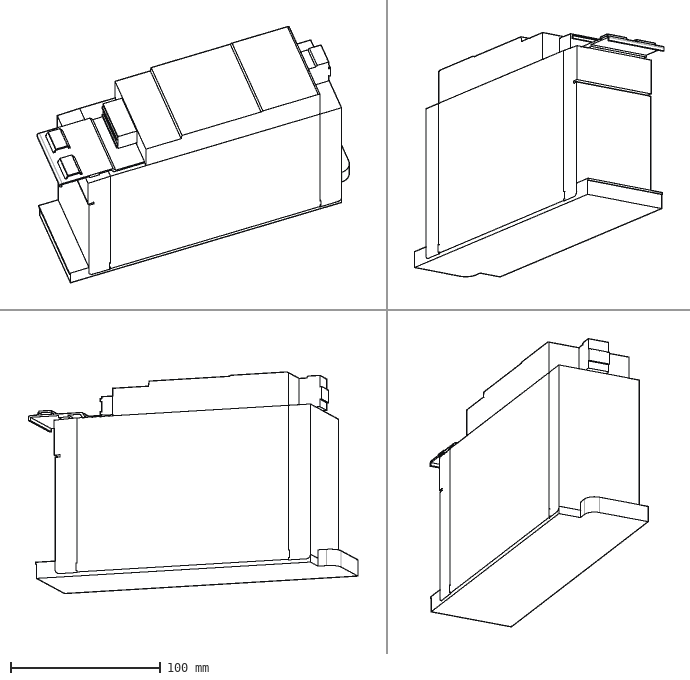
import cadquery as cq


WIDTH = 60.0

BASE_LENGTH = 207.3
BASE_HEIGHT = 11.1
BASE_LIP_OUT = 0.6
BASE_LIP_HEIGHT = 1.3
REAR_FLANGE_WIDTH = 44.0
REAR_FLANGE_RADIUS = 7.5

HOUSING_FRONT = 13.3
CHASSIS_FRONT = 28.6
CHASSIS_REAR = 178.3
HOUSING_REAR = 193.6
HOUSING_TOP = 107.7
CAP_BOTTOM = 2.4
CHASSIS_BOTTOM = 2.8
HOUSING_CORNER_RADIUS = 3.0
CHASSIS_TAB_OUT = 0.6
CHASSIS_TAB_BOTTOM = 3.8
CHASSIS_TAB_TOP = 9.0

BROW_OUT = 0.6
BROW_BOTTOM = 83.4
CAP_TOP_DROP = 0.6
SLOT_HEIGHT = 1.5
SLOT_DEPTH = 3.5

COVER_FRONT = 53.9
COVER_STEP_Y = 79.0
COVER_STEP_RUN = 0.6
COVER_LOW_TOP = 126.5
COVER_MID_TOP = 130.0
COVER_HIGH_TOP = 130.5
COVER_RIDGE_FRONT = 136.1
COVER_RIDGE_BEVEL = 1.3

REAR_CONN_X = 22.5
REAR_CONN_WIDTH = 15.2
REAR_CONN_BOTTOM = 109.9
REAR_CONN_TOP = 131.2
REAR_CONN_REAR = 192.8
REAR_CONN_STEP_Y = 184.5
REAR_CONN_STEP_RUN = 1.0
REAR_CONN_LIP_OUT = 1.3
REAR_CONN_LIP_BOTTOM = 115.0
REAR_CONN_LIP_TOP = 123.5

FRONT_CONN_X = 13.5
FRONT_CONN_WIDTH = 29.0
FRONT_CONN_BOTTOM = 111.1
FRONT_CONN_TOP = 124.5
FRONT_CONN_FRONT = 40.5
FRONT_CONN_LIP_OUT = 1.0
FRONT_CONN_LIP_HEIGHT = 2.0
FRONT_CONN_LIP_INSET_X = 1.3
FRONT_CONN_LIP_INSET_Z = 1.3

SHEET = 1.3
SHIELD_X = 12.8
SHIELD_WIDTH = 44.7
SHIELD_BEND_Y = 33.3
SHIELD_BEND_RUN = 2.0
SHIELD_TOP = 111.8
SHIELD_TIP_Y = -6.5
SHIELD_TIP_BOTTOM = 108.4
SHIELD_TIP_RADIUS = 1.5
SHIELD_RIB_FRONT = 14.7
SHIELD_RIB_LENGTH = 6.8
SHIELD_RIB_DEPTH = 1.3
BRIDGE_COUNT = 2
BRIDGE_FIRST_X = 16.2
BRIDGE_PITCH = 23.3
BRIDGE_WIDTH = 15.2
BRIDGE_FRONT = -1.7
BRIDGE_REAR = 10.5
BRIDGE_RISE = 3.2
BRIDGE_SLOPE_RUN = 2.0


def box(x, y, z):
    """Box spanning the given (low, high) ranges."""
    return cq.Workplane("XY").box(
        x[1] - x[0], y[1] - y[0], z[1] - z[0], centered=False
    ).translate((x[0], y[0], z[0]))


def extrude_along_x(profile, x_start, length):
    """Prism along X from a closed list of (y, z) points."""
    return cq.Workplane("YZ", origin=(x_start, 0, 0)).polyline(profile).close().extrude(length)


def make_base(housing_parts):
    """Tray with raised end blocks; the housing parts sit in it."""
    block = box((0, WIDTH), (0, BASE_LENGTH), (0, BASE_HEIGHT))
    lip = box(
        (0, WIDTH),
        (-BASE_LIP_OUT, 0),
        (BASE_HEIGHT - BASE_LIP_HEIGHT, BASE_HEIGHT),
    )
    flange_clearance = box(
        (REAR_FLANGE_WIDTH, WIDTH), (HOUSING_REAR, BASE_LENGTH), (0, BASE_HEIGHT)
    )
    base = block.union(lip).cut(flange_clearance)
    base = base.edges(
        cq.selectors.NearestToPointSelector((REAR_FLANGE_WIDTH, BASE_LENGTH, BASE_HEIGHT / 2))
    ).fillet(REAR_FLANGE_RADIUS)
    for part in housing_parts:
        base = base.cut(part)
    return base


def make_cap_envelope():
    """Block with rounded lower ends from which both caps are taken."""
    block = box((0, WIDTH), (HOUSING_FRONT, HOUSING_REAR), (CAP_BOTTOM, HOUSING_TOP))
    return block.edges("|X and <Z").fillet(HOUSING_CORNER_RADIUS)


def make_chassis():
    """Middle of the housing, with a small tab low on its front and rear faces."""
    body = box((0, WIDTH), (CHASSIS_FRONT, CHASSIS_REAR), (CHASSIS_BOTTOM, HOUSING_TOP))
    tabs = box(
        (0, WIDTH),
        (CHASSIS_FRONT - CHASSIS_TAB_OUT, CHASSIS_REAR + CHASSIS_TAB_OUT),
        (CHASSIS_TAB_BOTTOM, CHASSIS_TAB_TOP),
    )
    return body.union(tabs)


def make_rear_cap(chassis):
    """Part of the housing behind the chassis."""
    region = box((0, WIDTH), (CHASSIS_REAR, HOUSING_REAR), (0, HOUSING_TOP))
    return make_cap_envelope().intersect(region).cut(chassis)


def make_front_cap(chassis):
    """Part of the housing ahead of the chassis: sloped top, brow and slot."""
    region = box((0, WIDTH), (HOUSING_FRONT, CHASSIS_FRONT), (0, BROW_BOTTOM))
    lower = make_cap_envelope().intersect(region)
    brow_front = HOUSING_FRONT - BROW_OUT
    brow = extrude_along_x(
        [
            (brow_front, BROW_BOTTOM),
            (CHASSIS_FRONT, BROW_BOTTOM),
            (CHASSIS_FRONT, HOUSING_TOP),
            (brow_front, HOUSING_TOP - CAP_TOP_DROP),
        ],
        0,
        WIDTH,
    )
    slot = box(
        (0, WIDTH),
        (HOUSING_FRONT, HOUSING_FRONT + SLOT_DEPTH),
        (BROW_BOTTOM - SLOT_HEIGHT, BROW_BOTTOM),
    )
    return lower.union(brow).cut(slot).cut(chassis)


def make_cover():
    """Stepped cover on top of the chassis, highest over its rear part."""
    return extrude_along_x(
        [
            (COVER_FRONT, HOUSING_TOP),
            (CHASSIS_REAR, HOUSING_TOP),
            (CHASSIS_REAR, COVER_MID_TOP),
            (CHASSIS_REAR - COVER_RIDGE_BEVEL, COVER_HIGH_TOP),
            (COVER_RIDGE_FRONT + COVER_RIDGE_BEVEL, COVER_HIGH_TOP),
            (COVER_RIDGE_FRONT, COVER_MID_TOP),
            (COVER_STEP_Y + COVER_STEP_RUN, COVER_MID_TOP),
            (COVER_STEP_Y, COVER_LOW_TOP),
            (COVER_FRONT, COVER_LOW_TOP),
        ],
        0,
        WIDTH,
    )


def make_rear_connector():
    """Connector on the rear face of the cover, with a latch lip behind it."""
    body = extrude_along_x(
        [
            (CHASSIS_REAR, REAR_CONN_BOTTOM),
            (REAR_CONN_REAR, REAR_CONN_BOTTOM),
            (REAR_CONN_REAR, REAR_CONN_TOP),
            (REAR_CONN_STEP_Y, REAR_CONN_TOP),
            (REAR_CONN_STEP_Y - REAR_CONN_STEP_RUN, COVER_MID_TOP),
            (CHASSIS_REAR, COVER_MID_TOP),
        ],
        REAR_CONN_X,
        REAR_CONN_WIDTH,
    )
    lip = box(
        (REAR_CONN_X, REAR_CONN_X + REAR_CONN_WIDTH),
        (REAR_CONN_REAR, REAR_CONN_REAR + REAR_CONN_LIP_OUT),
        (REAR_CONN_LIP_BOTTOM, REAR_CONN_LIP_TOP),
    )
    return body.union(lip)


def make_front_connector():
    """Connector on the front face of the cover, with two lips on its own front."""
    right_side = FRONT_CONN_X + FRONT_CONN_WIDTH
    connector = box(
        (FRONT_CONN_X, right_side),
        (FRONT_CONN_FRONT, COVER_FRONT),
        (FRONT_CONN_BOTTOM, FRONT_CONN_TOP),
    )
    lip_bottoms = (
        FRONT_CONN_BOTTOM + FRONT_CONN_LIP_INSET_Z,
        FRONT_CONN_TOP - FRONT_CONN_LIP_INSET_Z - FRONT_CONN_LIP_HEIGHT,
    )
    for lip_bottom in lip_bottoms:
        lip = box(
            (FRONT_CONN_X + FRONT_CONN_LIP_INSET_X, right_side),
            (FRONT_CONN_FRONT - FRONT_CONN_LIP_OUT, FRONT_CONN_FRONT),
            (lip_bottom, lip_bottom + FRONT_CONN_LIP_HEIGHT),
        )
        connector = connector.union(lip)
    return connector


def make_shield_sheet():
    """Sheet lying on the chassis, stepped up and turned down at the front tip."""
    foot_top = HOUSING_TOP + SHEET
    plate_bottom = SHIELD_TOP - SHEET
    bend_front = SHIELD_BEND_Y - SHIELD_BEND_RUN
    sheet = extrude_along_x(
        [
            (COVER_FRONT, HOUSING_TOP),
            (COVER_FRONT, foot_top),
            (SHIELD_BEND_Y, foot_top),
            (bend_front, SHIELD_TOP),
            (SHIELD_TIP_Y, SHIELD_TOP),
            (SHIELD_TIP_Y, SHIELD_TIP_BOTTOM),
            (SHIELD_TIP_Y + SHEET, SHIELD_TIP_BOTTOM),
            (SHIELD_TIP_Y + SHEET, plate_bottom),
            (bend_front - SHEET, plate_bottom),
            (SHIELD_BEND_Y - SHEET, HOUSING_TOP),
        ],
        SHIELD_X,
        SHIELD_WIDTH,
    )
    tip_edge = cq.selectors.NearestToPointSelector(
        (SHIELD_X + SHIELD_WIDTH / 2, SHIELD_TIP_Y, SHIELD_TOP)
    )
    return sheet.edges(tip_edge).fillet(SHIELD_TIP_RADIUS)


def make_bridge(x_start):
    """Raised strip with sloped legs, open underneath."""
    top = SHIELD_TOP + BRIDGE_RISE
    ceiling = top - SHEET
    return extrude_along_x(
        [
            (BRIDGE_FRONT, SHIELD_TOP),
            (BRIDGE_FRONT + BRIDGE_SLOPE_RUN, top),
            (BRIDGE_REAR - BRIDGE_SLOPE_RUN, top),
            (BRIDGE_REAR, SHIELD_TOP),
            (BRIDGE_REAR - SHEET, SHIELD_TOP),
            (BRIDGE_REAR - BRIDGE_SLOPE_RUN, ceiling),
            (BRIDGE_FRONT + BRIDGE_SLOPE_RUN, ceiling),
            (BRIDGE_FRONT + SHEET, SHIELD_TOP),
        ],
        x_start,
        BRIDGE_WIDTH,
    )


def make_shield():
    """Shield plate with its underside rib and its cable-tie bridges."""
    plate_bottom = SHIELD_TOP - SHEET
    rib = box(
        (SHIELD_X, SHIELD_X + SHIELD_WIDTH),
        (SHIELD_RIB_FRONT, SHIELD_RIB_FRONT + SHIELD_RIB_LENGTH),
        (plate_bottom - SHIELD_RIB_DEPTH, plate_bottom),
    )
    shield = make_shield_sheet().union(rib)
    for index in range(BRIDGE_COUNT):
        shield = shield.union(make_bridge(BRIDGE_FIRST_X + index * BRIDGE_PITCH))
    return shield


chassis = make_chassis()
rear_cap = make_rear_cap(chassis)
front_cap = make_front_cap(chassis)
base = make_base([chassis, rear_cap, front_cap])
cover = make_cover()
rear_connector = make_rear_connector()
front_connector = make_front_connector()
shield = make_shield()

result = cq.Compound.makeCompound(
    [
        base.val(),
        chassis.val(),
        rear_cap.val(),
        front_cap.val(),
        cover.val(),
        rear_connector.val(),
        front_connector.val(),
        shield.val(),
    ]
)